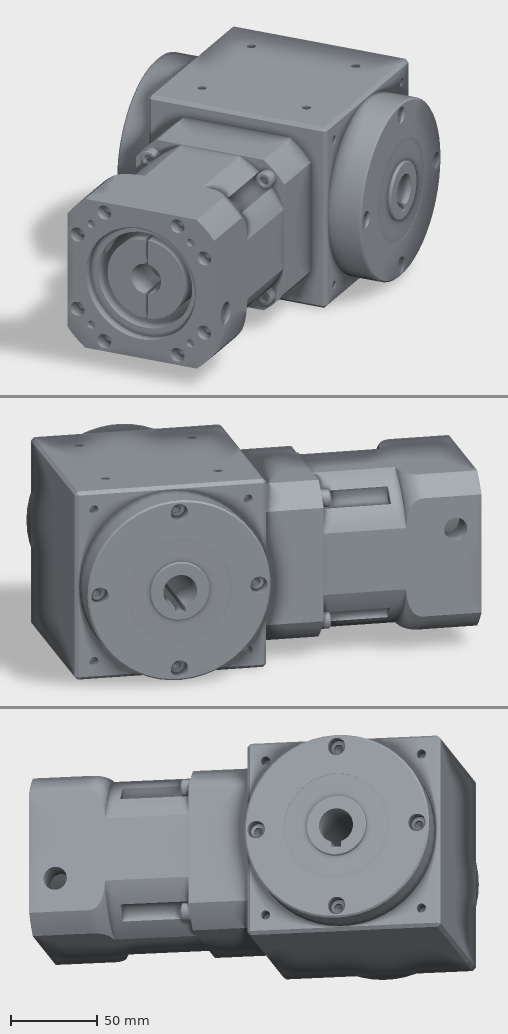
import cadquery as cq
import math

TOTAL_LENGTH = 244

CUBE = 114.0
CUBE_CHAMFER = 2.0
CUBE_HALF = CUBE / 2

FLANGE_SPAN = 156.5
FLANGE_RADIUS = 54.5
FLANGE_CHAMFER = 1.0
SEAL_RADIUS = 31.2
SEAL_RECESS = 0.2
COLLAR_SPAN = 160.0
COLLAR_RADIUS = 17.5
COLLAR_CHAMFER = 0.5
SHAFT_BORE_RADIUS = 10.0
KEYWAY_WIDTH = 6.0
KEYWAY_REACH = 12.7

BLOCK_SQUARE = 95.0
RING_SQUARE = 94.0
BLOCK_RADIUS = 58.5
RING_RADIUS = 50.5
ADAPTER_RADIUS = 59.0
BLOCK_END = 93.0
RING_END = 135.0
NECK_END = 142.0
INPUT_END = TOTAL_LENGTH - CUBE_HALF
SHOULDER_RADIUS = 10.0

SCREW_OFFSET = 36.8
SCREW_HEAD_RADIUS = 5.1
SCREW_HEAD_LENGTH = 5.9
SCREW_HEAD_CHAMFER = 0.7
SOCKET_RADIUS = 3.0
SOCKET_DEPTH = 3.0
GROOVE_OFFSET = 35.9
GROOVE_RADIUS = 5.9

PILOT_RADIUS = 35.1
PILOT_DEPTH = 5.9
ADAPTER_BORE_RADIUS = 30.0
ACCESS_HOLE_RADIUS = 6.8
ACCESS_HOLE_INSET = 15.4
ACCESS_HOLE_HEIGHT = 15.9

HUB_RADIUS = 24.6
HUB_INSET = 7.3
HUB_BORE_RADIUS = 9.5
HUB_BORE_DEPTH = 24.5
HUB_SLOT_WIDTH = 2.2

DRILL_TIP_ANGLE = 118
CUBE_HOLE_RADIUS = 2.7
CUBE_HOLE_DEPTH = 9.8
TOP_HOLE_OFFSET = 33.5
SIDE_HOLE_OFFSET = 45.9
ADAPTER_PIN_RADIUS = 2.5
ADAPTER_PIN_CIRCLE = 45.0
ADAPTER_PIN_ANGLE = 45
ADAPTER_PIN_DEPTH = 9.8

BOLT_HOLE_DEPTH = 6.8
FLANGE_BOLT_CIRCLE = 47.3
FLANGE_BOLT_RADIUS = 5.1
FLANGE_SOCKET_RADIUS = 2.7
ADAPTER_BOLT_CIRCLE = 46.8
ADAPTER_BOLT_ANGLES = (30, 60)
ADAPTER_BOLT_RADIUS = 4.5
ADAPTER_SOCKET_RADIUS = 2.5

SIDES = (-1, 1)
QUARTER_TURNS = (0, 90, 180, 270)
QUADRANT_SIGNS = [(sx, sz) for sx in SIDES for sz in SIDES]


def turned(profile):
    """Solid of revolution about Z from (radius, z) points that start and end on the axis."""
    return cq.Workplane("XZ").polyline(profile).close().revolve(360, (0, 0, 0), (0, 1, 0))


def drill(radius, depth):
    """Cutter going down from the origin, with a conical tip."""
    tip = radius / math.tan(math.radians(DRILL_TIP_ANGLE / 2))
    return turned([(0, 0), (radius, 0), (radius, -depth), (0, -depth - tip)])


def bolt_hole(radius, socket_radius):
    """Cutter going down from the origin, whose floor is a chamfered screw head with a socket."""
    rim_depth = BOLT_HOLE_DEPTH + SCREW_HEAD_CHAMFER
    socket_floor = BOLT_HOLE_DEPTH + SOCKET_DEPTH
    return turned([
        (0, 0),
        (radius, 0),
        (radius, -rim_depth),
        (radius - SCREW_HEAD_CHAMFER, -BOLT_HOLE_DEPTH),
        (socket_radius, -BOLT_HOLE_DEPTH),
        (socket_radius, -socket_floor),
        (0, -socket_floor),
    ])


def facing_output(tool, side):
    """Turn a tool that points up so that it points along +X (side 1) or -X (side -1)."""
    return tool.rotate((0, 0, 0), (0, 1, 0), 90 * side)


def facing_input(tool):
    """Turn a tool that points up so that it points along -Y."""
    return tool.rotate((0, 0, 0), (1, 0, 0), 90)


def input_cylinder(radius, start, end):
    """Cylinder on the input axis, from distance start to distance end along -Y."""
    return cq.Workplane("XZ").workplane(offset=start).circle(radius).extrude(end - start)


def input_square(width, start, end):
    """Square bar on the input axis, from distance start to distance end along -Y."""
    return cq.Workplane("XZ").workplane(offset=start).rect(width, width).extrude(end - start)


def rounded_section(width, radius, start, end):
    """Square bar with its corners rounded to a radius about the input axis."""
    return input_square(width, start, end).intersect(input_cylinder(radius, start, end))


def on_input_circle(radius, angle, distance):
    """Point on a circle about the input axis."""
    turn = math.radians(angle)
    return (radius * math.cos(turn), -distance, radius * math.sin(turn))


def output_flanges():
    """Round flange with a shaft collar standing out of it, on both X sides."""
    flanges = (
        cq.Workplane("YZ").circle(FLANGE_RADIUS).extrude(FLANGE_SPAN / 2, both=True)
        .faces("<X or >X").chamfer(FLANGE_CHAMFER)
    )
    seal_seat = FLANGE_SPAN / 2 - SEAL_RECESS
    for side in SIDES:
        seat = (
            cq.Workplane("YZ").workplane(offset=side * seal_seat)
            .circle(SEAL_RADIUS).extrude(side * SEAL_RECESS)
        )
        flanges = flanges.cut(seat)
    collars = (
        cq.Workplane("YZ").circle(COLLAR_RADIUS).extrude(COLLAR_SPAN / 2, both=True)
        .faces("<X or >X").chamfer(COLLAR_CHAMFER)
    )
    return flanges.union(collars)


def shaft_bore():
    """Hollow shaft's bore with a keyway at its bottom, through along X."""
    bore = cq.Workplane("YZ").circle(SHAFT_BORE_RADIUS).extrude(COLLAR_SPAN, both=True)
    keyway = (
        cq.Workplane("YZ").center(0, -KEYWAY_REACH / 2).rect(KEYWAY_WIDTH, KEYWAY_REACH)
        .extrude(COLLAR_SPAN, both=True)
    )
    return bore.union(keyway)


def cut_cube_holes(housing):
    """Four holes in the top face, and four in the corners of each X face."""
    hole = drill(CUBE_HOLE_RADIUS, CUBE_HOLE_DEPTH)
    for sa, sb in QUADRANT_SIGNS:
        housing = housing.cut(hole.translate((sa * TOP_HOLE_OFFSET, sb * TOP_HOLE_OFFSET, CUBE_HALF)))
        for side in SIDES:
            place = (side * CUBE_HALF, sa * SIDE_HOLE_OFFSET, sb * SIDE_HOLE_OFFSET)
            housing = housing.cut(facing_output(hole, side).translate(place))
    return housing


def cut_flange_bolt_holes(housing):
    """Four bolt holes in each output flange, with drilled sockets in their screws."""
    hole = bolt_hole(FLANGE_BOLT_RADIUS, FLANGE_SOCKET_RADIUS)
    hole = hole.union(drill(FLANGE_SOCKET_RADIUS, BOLT_HOLE_DEPTH + SOCKET_DEPTH))
    for side in SIDES:
        cutter = facing_output(hole, side)
        for angle in QUARTER_TURNS:
            turn = math.radians(angle)
            y = FLANGE_BOLT_CIRCLE * math.cos(turn)
            z = FLANGE_BOLT_CIRCLE * math.sin(turn)
            housing = housing.cut(cutter.translate((side * FLANGE_SPAN / 2, y, z)))
    return housing


def screw_head():
    """Socket screw head standing on the origin, pointing along -Y."""
    head = (
        cq.Workplane("XY").circle(SCREW_HEAD_RADIUS).extrude(SCREW_HEAD_LENGTH)
        .faces(">Z").chamfer(SCREW_HEAD_CHAMFER)
        .faces(">Z").workplane().circle(SOCKET_RADIUS).cutBlind(-SOCKET_DEPTH)
    )
    return facing_input(head)


def input_stage():
    """Input block and grooved ring, with the four screw heads in the grooves."""
    block = rounded_section(BLOCK_SQUARE, BLOCK_RADIUS, CUBE_HALF - CUBE_CHAMFER, BLOCK_END)
    ring = rounded_section(RING_SQUARE, RING_RADIUS, BLOCK_END, RING_END)
    groove_places = [(sx * GROOVE_OFFSET, sz * GROOVE_OFFSET) for sx, sz in QUADRANT_SIGNS]
    grooves = (
        cq.Workplane("XZ").workplane(offset=BLOCK_END).pushPoints(groove_places)
        .circle(GROOVE_RADIUS).extrude(RING_END - BLOCK_END)
    )
    stage = block.union(ring.cut(grooves))
    for sx, sz in QUADRANT_SIGNS:
        stage = stage.union(screw_head().translate((sx * SCREW_OFFSET, -BLOCK_END, sz * SCREW_OFFSET)))
    return stage


def make_housing():
    cube = cq.Workplane("XY").box(CUBE, CUBE, CUBE).edges().chamfer(CUBE_CHAMFER)
    housing = cube.union(output_flanges()).union(input_stage()).cut(shaft_bore())
    housing = cut_cube_holes(housing)
    return cut_flange_bolt_holes(housing)


def adapter_blank():
    """Neck matching the ring, widening over a rounded shoulder to the motor end."""
    shoulder_end = NECK_END + SHOULDER_RADIUS
    shoulder_inner = ADAPTER_RADIUS - SHOULDER_RADIUS
    diagonal = SHOULDER_RADIUS * math.sqrt(0.5)
    arc_middle = (shoulder_inner + diagonal, -shoulder_end + diagonal)
    turned_shape = (
        cq.Workplane("XY")
        .moveTo(0, -NECK_END)
        .lineTo(shoulder_inner, -NECK_END)
        .threePointArc(arc_middle, (ADAPTER_RADIUS, -shoulder_end))
        .lineTo(ADAPTER_RADIUS, -INPUT_END)
        .lineTo(0, -INPUT_END)
        .close()
        .revolve(360, (0, 0, 0), (0, 1, 0))
    )
    turned_shape = turned_shape.union(input_cylinder(RING_RADIUS, RING_END, shoulder_end))
    return turned_shape.intersect(input_square(RING_SQUARE, RING_END, INPUT_END))


def cut_adapter_face_holes(adapter):
    """Eight bolt holes and four drilled holes in the motor face."""
    bolt = facing_input(bolt_hole(ADAPTER_BOLT_RADIUS, ADAPTER_SOCKET_RADIUS))
    pin = facing_input(drill(ADAPTER_PIN_RADIUS, ADAPTER_PIN_DEPTH))
    for quarter in QUARTER_TURNS:
        for angle in ADAPTER_BOLT_ANGLES:
            place = on_input_circle(ADAPTER_BOLT_CIRCLE, quarter + angle, INPUT_END)
            adapter = adapter.cut(bolt.translate(place))
        place = on_input_circle(ADAPTER_PIN_CIRCLE, quarter + ADAPTER_PIN_ANGLE, INPUT_END)
        adapter = adapter.cut(pin.translate(place))
    return adapter


def access_hole(side):
    """Hole to a clamping screw of the hub: above the axis on the -X side, below it on the +X side."""
    return (
        cq.Workplane("YZ").center(ACCESS_HOLE_INSET - INPUT_END, -side * ACCESS_HOLE_HEIGHT)
        .circle(ACCESS_HOLE_RADIUS).extrude(side * RING_SQUARE / 2)
    )


def make_adapter():
    adapter = adapter_blank()
    adapter = adapter.cut(input_cylinder(ADAPTER_BORE_RADIUS, RING_END, INPUT_END))
    adapter = adapter.cut(input_cylinder(PILOT_RADIUS, INPUT_END - PILOT_DEPTH, INPUT_END))
    for side in SIDES:
        adapter = adapter.cut(access_hole(side))
    return cut_adapter_face_holes(adapter)


def make_hub():
    hub_end = INPUT_END - HUB_INSET
    hub = input_cylinder(HUB_RADIUS, RING_END, hub_end)
    hub = hub.cut(input_cylinder(HUB_BORE_RADIUS, hub_end - HUB_BORE_DEPTH, hub_end))
    slot = (
        cq.Workplane("XZ").workplane(offset=hub_end - HUB_BORE_DEPTH)
        .rect(HUB_SLOT_WIDTH, 2 * HUB_RADIUS).extrude(HUB_BORE_DEPTH)
    )
    return hub.cut(slot)


housing = make_housing()
adapter = make_adapter()
hub = make_hub()

result = cq.Compound.makeCompound([housing.solids().val(), adapter.solids().val(), hub.solids().val()])